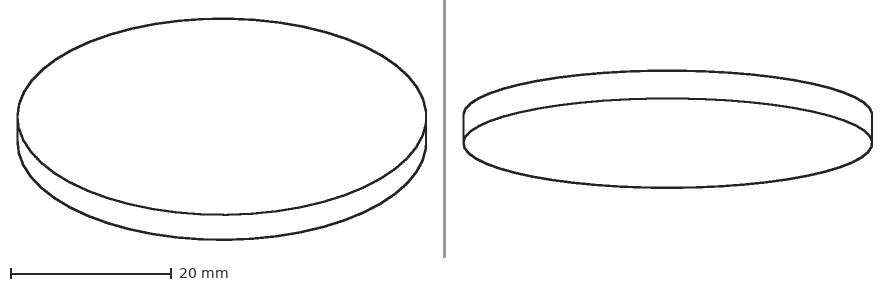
import cadquery as cq

diameter = 50.8
center_thickness = 4.85
edge_thickness = 3.55

radius = diameter / 2
half_center = center_thickness / 2
half_edge = edge_thickness / 2

dome_rise = half_center - half_edge
sphere_radius = (radius**2 + dome_rise**2) / (2 * dome_rise)
sphere_offset = sphere_radius - half_center
arc_middle_r = radius / 2
arc_middle_z = (sphere_radius**2 - arc_middle_r**2) ** 0.5 - sphere_offset

half_section = (
    cq.Workplane("YZ")
    .moveTo(0, -half_center)
    .threePointArc((arc_middle_r, -arc_middle_z), (radius, -half_edge))
    .lineTo(radius, half_edge)
    .threePointArc((arc_middle_r, arc_middle_z), (0, half_center))
    .close()
)
result = half_section.revolve(360, (0, 0), (0, 1))